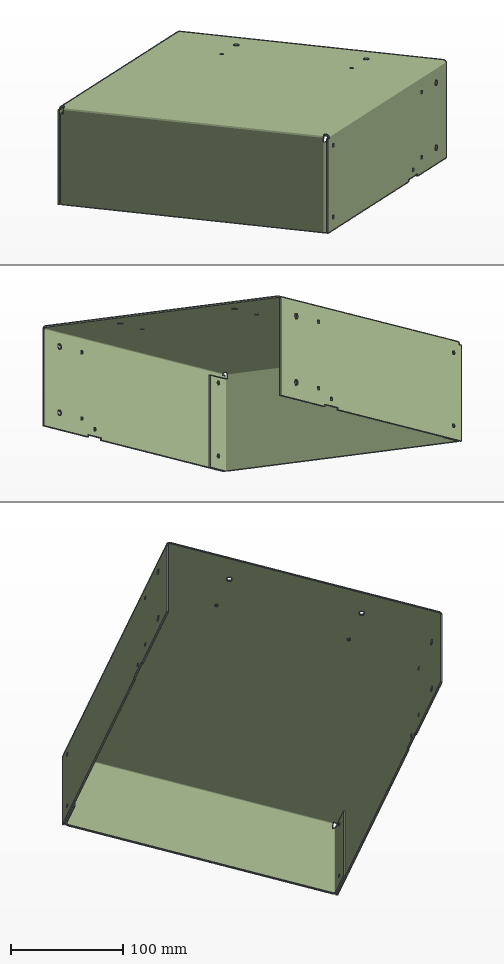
import cadquery as cq

width = 260.5
depth = 278.2
height = 90.5
sheet = 1.5
bend_radius = 3.3

flange_gap = 0.05
flange_length = 24.5
flange_drop = 6.7
corner_relief = 3.3

mount_diameter = 5.0
pilot_diameter = 3.0
rivet_diameter = 3.3
mount_y = 115.2
pilot_y = 81.0
roof_hole_x = 62.5
wall_hole_offset = 30.0
rivet_offset = 33.0
rivet_y = -depth / 2 + flange_length / 2

notch_width = 20.3
notch_height = 2.0
notch_y = 61.0
notch_hole_z = 8.3

middle_z = height / 2
front_y = -depth / 2
inner_radius = bend_radius - sheet
panel_width = width - 2 * (sheet + flange_gap)
fold_end_x = panel_width / 2 - bend_radius


def block(x_range, y_range, z_range):
    """Box spanning the given limits."""
    sizes = [high - low for low, high in (x_range, y_range, z_range)]
    corner = (x_range[0], y_range[0], z_range[0])
    return cq.Workplane("XY").box(*sizes, centered=False).translate(corner)


def make_roof_and_walls():
    """U-shaped channel running front to rear."""
    outer = block((-width / 2, width / 2), (front_y, depth / 2), (0, height))
    outer = outer.edges("|Y and >Z").fillet(bend_radius)
    inner = block(
        (-width / 2 + sheet, width / 2 - sheet), (front_y, depth / 2), (0, height - sheet)
    )
    channel = outer.cut(inner.edges("|Y and >Z").fillet(inner_radius))

    front_strip = block(
        (-width / 2, width / 2),
        (front_y, front_y + corner_relief),
        (height - corner_relief, height),
    )
    return channel.cut(front_strip)


def make_front_fold():
    """Front panel folded down from the roof, between the corner reliefs."""
    x_range = (-fold_end_x, fold_end_x)
    rear_y = front_y + 2 * bend_radius
    outer = block(x_range, (front_y, rear_y), (0, height))
    outer = outer.edges("|X and >Z and <Y").fillet(bend_radius)
    inner = block(x_range, (front_y + sheet, rear_y), (0, height - sheet))
    return outer.cut(inner.edges("|X and >Z and <Y").fillet(inner_radius))


def make_flanges():
    """Front panel with its sides folded rearward along the side walls."""
    rear_y = front_y + flange_length
    z_range = (0, height - flange_drop)
    outer = block((-panel_width / 2, panel_width / 2), (front_y, rear_y), z_range)
    outer = outer.edges("|Z and <Y").fillet(bend_radius)
    inner_x = panel_width / 2 - sheet
    inner = block((-inner_x, inner_x), (front_y + sheet, rear_y), z_range)
    return outer.cut(inner.edges("|Z and <Y").fillet(inner_radius))


def side_holes(points, diameter):
    """Cylinders through both side walls at (y, z) points."""
    plane = cq.Workplane("YZ", origin=(-width / 2, 0, 0))
    return plane.pushPoints(points).circle(diameter / 2).extrude(width)


def roof_holes(y, diameter):
    """A mirrored pair of cylinders through the roof."""
    plane = cq.Workplane("XY", origin=(0, 0, height - sheet))
    return plane.pushPoints([(-roof_hole_x, y), (roof_hole_x, y)]).circle(diameter / 2).extrude(sheet)


def upper_and_lower(y, offset):
    """Two (y, z) points equally spaced about mid height."""
    return [(y, middle_z - offset), (y, middle_z + offset)]


result = make_roof_and_walls().union(make_front_fold()).union(make_flanges())

for hole_y, hole_diameter in ((mount_y, mount_diameter), (pilot_y, pilot_diameter)):
    result = result.cut(roof_holes(hole_y, hole_diameter))
    result = result.cut(side_holes(upper_and_lower(hole_y, wall_hole_offset), hole_diameter))

result = result.cut(side_holes(upper_and_lower(rivet_y, rivet_offset), rivet_diameter))
result = result.cut(side_holes([(notch_y, notch_hole_z)], pilot_diameter))

edge_notch = block(
    (-width / 2, width / 2),
    (notch_y - notch_width / 2, notch_y + notch_width / 2),
    (0, notch_height),
)
result = result.cut(edge_notch)